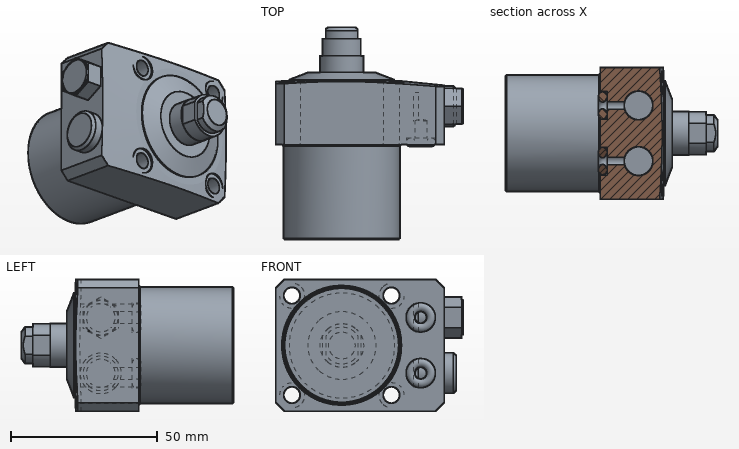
import cadquery as cq
import math


barrel_radius = 19.95
barrel_length = 32.4
barrel_chamfer = 0.5

flange_height = 45.0
flange_half = flange_height / 2
flange_right = 35.0
flange_corner = 3.0
back_flat_y = 21.7
back_flat_radius = 20.5
back_slope = 0.1
stock_radius = 50.75

hole_radius = 2.75
hole_offset = 17.0
spotface_radius = 4.3
spotface_floor_y = 21.0

cap_radius = 18.0
cap_rim_y = 22.1
cap_top_radius = 11.6
cap_top_y = 24.6

rod_radius = 7.5
rod_shoulder_y = 30.2
seat_radius = 7.4
seat_flat = 6.6
seat_end_y = 36.1
tip_radius = 6.3
tip_flat = 5.5
tip_cone_y = 38.8
tip_end_radius = 4.6
rod_end_y = 40.1

port_x = 27.0
port_z = 9.5
ring_outer_radius = 5.0
ring_wire_radius = 1.5
ring_protrusion = 0.7
ring_major_radius = ring_outer_radius - ring_wire_radius
ring_y = ring_wire_radius - ring_protrusion
groove_depth = ring_y + ring_wire_radius
port_radius = 2.0

bore_y = 13.05
bore_radius = 4.85
bore_end_x = 24.5
shank_end_x = 26.2

hex_across_flats = 12.2
hex_end_x = 40.9
overall_width = 64.0
collar_end_x = overall_width - flange_half
collar_end_radius = 5.9
plug_radius = 6.95
plug_end_x = 39.15
plug_chamfer = 1.0


def cylinder_y(radius, y_start, y_end, x=0.0, z=0.0):
    """Cylinder parallel to Y between two Y positions."""
    return cq.Workplane(
        cq.Solid.makeCylinder(radius, y_end - y_start, cq.Vector(x, y_start, z), cq.Vector(0, 1, 0))
    )


def cylinder_x(radius, x_start, x_end, z):
    """Cylinder parallel to X on a side bore axis."""
    return cq.Workplane(
        cq.Solid.makeCylinder(radius, x_end - x_start, cq.Vector(x_start, bore_y, z), cq.Vector(1, 0, 0))
    )


def revolve_about_y(profile):
    """Solid of revolution about Y from (radius, y) points."""
    return cq.Workplane("XY").polyline(profile).close().revolve(360, (0, 0, 0), (0, 1, 0))


def make_flange():
    """Block with cut corners, trimmed behind by the shallow back cone."""
    width = flange_half + flange_right
    block = (
        cq.Workplane("XZ")
        .center((flange_right - flange_half) / 2, 0)
        .rect(width, flange_height)
        .extrude(-back_flat_y)
        .edges("|Y")
        .chamfer(flange_corner)
    )
    stock_edge_y = back_flat_y - back_slope * (stock_radius - back_flat_radius)
    stock = revolve_about_y([
        (0, 0),
        (stock_radius, 0),
        (stock_radius, stock_edge_y),
        (back_flat_radius, back_flat_y),
        (0, back_flat_y),
    ])
    return block.intersect(stock)


def make_barrel_and_cap():
    """Barrel in front of the flange and conical cap behind it, on one axis."""
    return revolve_about_y([
        (0, -barrel_length),
        (barrel_radius - barrel_chamfer, -barrel_length),
        (barrel_radius, -barrel_length + barrel_chamfer),
        (barrel_radius, -barrel_chamfer),
        (barrel_radius + barrel_chamfer, 0),
        (cap_radius, 0),
        (cap_radius, cap_rim_y),
        (cap_top_radius, cap_top_y),
        (0, cap_top_y),
    ])


def make_hex_fitting():
    """Hexagonal fitting head with a tapered round end."""
    corner_diameter = hex_across_flats / math.cos(math.pi / 6)
    head = (
        cq.Workplane("YZ", origin=(flange_right, bore_y, port_z))
        .transformed(rotate=(0, 0, 90))
        .polygon(6, corner_diameter)
        .extrude(hex_end_x - flange_right)
    )
    collar = cq.Workplane(cq.Solid.makeCone(
        hex_across_flats / 2, collar_end_radius, collar_end_x - hex_end_x,
        cq.Vector(hex_end_x, bore_y, port_z), cq.Vector(1, 0, 0),
    ))
    return head.union(collar)


def make_round_plug():
    """Round plug head with a chamfered end."""
    plug = cylinder_x(plug_radius, flange_right, plug_end_x, -port_z)
    return plug.faces(">X").chamfer(plug_chamfer)


def make_housing():
    """Barrel, flange, cap and side fittings as one solid."""
    body = make_flange().union(make_barrel_and_cap())
    for x in (-hole_offset, hole_offset):
        for z in (-hole_offset, hole_offset):
            body = body.cut(cylinder_y(hole_radius, 0, back_flat_y, x, z))
            body = body.cut(cylinder_y(spotface_radius, spotface_floor_y, back_flat_y, x, z))
    for z in (-port_z, port_z):
        body = body.cut(cylinder_x(bore_radius, bore_end_x, flange_right, z))
        body = body.cut(cylinder_y(port_radius, 0, bore_y, port_x, z))
        body = body.cut(cylinder_y(ring_outer_radius, 0, groove_depth, port_x, z))
        body = body.union(cylinder_x(bore_radius, shank_end_x, flange_right, z))
    return body.union(make_hex_fitting()).union(make_round_plug())


def make_flatted_section(profile, flat):
    """Round rod section with two parallel flats facing -X and +X."""
    y_start = profile[0][1]
    y_end = profile[-1][1]
    slab = cq.Workplane("XY").box(2 * flat, y_end - y_start, 2 * rod_radius)
    return revolve_about_y(profile).intersect(slab.translate((0, (y_start + y_end) / 2, 0)))


def make_piston_rod():
    """Stepped rod standing on the cap."""
    rod = cylinder_y(rod_radius, cap_top_y, rod_shoulder_y)
    seat = make_flatted_section([
        (0, rod_shoulder_y),
        (seat_radius, rod_shoulder_y),
        (seat_radius, seat_end_y),
        (0, seat_end_y),
    ], seat_flat)
    tip = make_flatted_section([
        (0, seat_end_y),
        (tip_radius, seat_end_y),
        (tip_radius, tip_cone_y),
        (tip_end_radius, rod_end_y),
        (0, rod_end_y),
    ], tip_flat)
    return rod.union(seat).union(tip)


def make_o_ring(z):
    """O-ring lying in the groove around one port."""
    return cq.Workplane(cq.Solid.makeTorus(
        ring_major_radius, ring_wire_radius, cq.Vector(port_x, ring_y, z), cq.Vector(0, 1, 0),
    ))


housing = make_housing()
piston_rod = make_piston_rod()
o_rings = [make_o_ring(z) for z in (-port_z, port_z)]

result = cq.Compound.makeCompound([
    housing.solids().val(),
    piston_rod.solids().val(),
    *[ring.solids().val() for ring in o_rings],
])